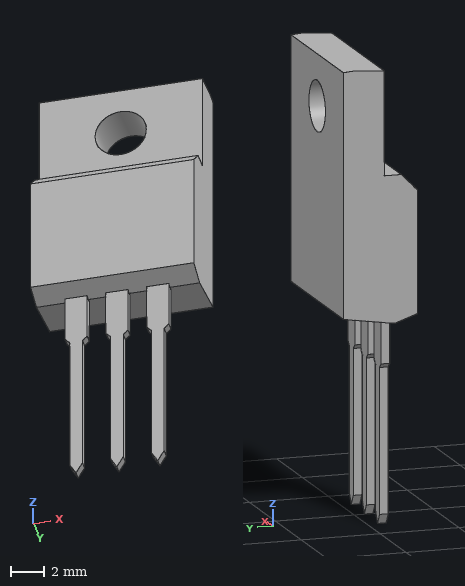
import cadquery as cq


package_width = 10.16
package_depth = 4.7
package_height = 28.85

tab_thickness = 2.6
tab_ridge_from_back = 0.69
tab_back_drop = 0.06
tab_front_drop = 0.14
hole_diameter = 3.18
hole_below_top = 3.3

body_top_below_tab = 6.65
body_chamfer = 1.02
body_side_bottom_below_tab = 15.37
body_keel_below_tab = 15.86
keel_from_back = 3.27

lead_count = 3
lead_pitch = 2.54
lead_thickness = 0.56
lead_center_from_back = 3.27
lead_wide_width = 1.38
lead_narrow_width = 0.8
lead_shoulder_bottom = 9.78
lead_shoulder_height = (lead_wide_width - lead_narrow_width) / 2
lead_tip_height = 0.67
lead_embedment = 1.0

front_y = -package_depth
tab_front_y = -tab_thickness
body_top_z = package_height - body_top_below_tab
body_side_bottom_z = package_height - body_side_bottom_below_tab
body_keel_z = package_height - body_keel_below_tab
lead_top_z = body_keel_z + lead_embedment


def make_package():
    """Tab and moulded body extruded across the full width as one side profile."""
    side_profile = [
        (0, body_side_bottom_z),
        (0, package_height - tab_back_drop),
        (-tab_ridge_from_back, package_height),
        (tab_front_y, package_height - tab_front_drop),
        (tab_front_y, body_top_z),
        (front_y + body_chamfer, body_top_z),
        (front_y, body_top_z - body_chamfer),
        (front_y, body_side_bottom_z),
        (-keel_from_back, body_keel_z),
    ]
    return cq.Workplane("YZ").polyline(side_profile).close().extrude(package_width / 2, both=True)


def make_mounting_hole():
    """Cylinder that cuts the screw hole through the tab."""
    return (
        cq.Workplane("XZ")
        .center(0, package_height - hole_below_top)
        .circle(hole_diameter / 2)
        .extrude(tab_thickness)
    )


def make_lead(center_x):
    """Flat lead with a wide root, sloped shoulders and a pointed tip."""
    half_wide = lead_wide_width / 2
    half_narrow = lead_narrow_width / 2
    shoulder_top = lead_shoulder_bottom + lead_shoulder_height
    outline = [
        (0, 0),
        (half_narrow, lead_tip_height),
        (half_narrow, lead_shoulder_bottom),
        (half_wide, shoulder_top),
        (half_wide, lead_top_z),
        (-half_wide, lead_top_z),
        (-half_wide, shoulder_top),
        (-half_narrow, lead_shoulder_bottom),
        (-half_narrow, lead_tip_height),
    ]
    return (
        cq.Workplane("XZ")
        .polyline(outline)
        .close()
        .extrude(lead_thickness / 2, both=True)
        .translate((center_x, -lead_center_from_back, 0))
    )


result = make_package().cut(make_mounting_hole())
for index in range(lead_count):
    lead_x = (index - (lead_count - 1) / 2) * lead_pitch
    result = result.union(make_lead(lead_x))